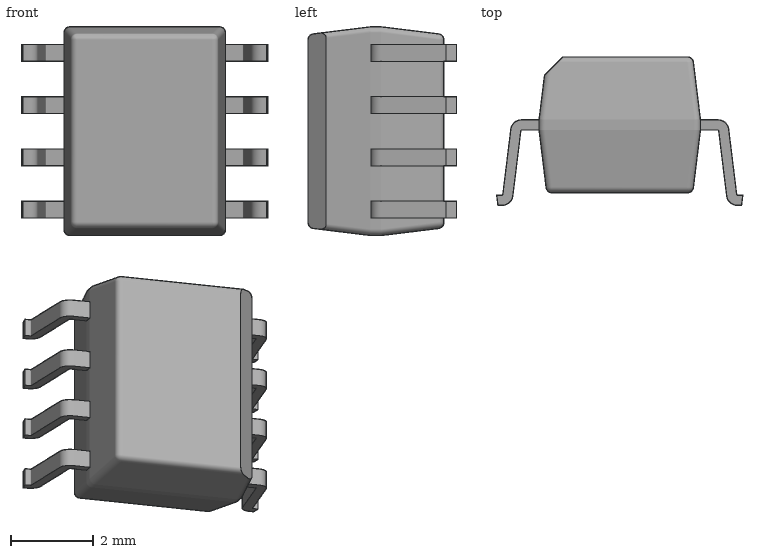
import cadquery as cq
import math


body_width = 3.93
body_length = 5.08
body_half_depth = 1.655
draft_angle = 7.0
edge_radius = 0.15
bevel_size = 0.39

lead_span = 5.99
lead_thickness = 0.25
lead_width = 0.415
lead_pitch = 1.27
leads_per_side = 4
shoulder_x = 2.385
foot_bottom_y = -1.96
inner_bend_radius = 0.02
outer_bend_radius = inner_bend_radius + lead_thickness

band_half = lead_thickness / 2
side_height = body_half_depth - band_half
draft = math.radians(draft_angle)
tolerance = 5.99e-05


def make_half(direction):
    """Half of the body, from the lead plane toward +Y (direction 1) or -Y (-1)."""
    plane = cq.Plane(origin=(0, 0, 0), xDir=(1, 0, 0), normal=(0, direction, 0))
    return (
        cq.Workplane(plane)
        .rect(body_width, body_length)
        .extrude(band_half)
        .faces(cq.selectors.DirectionMinMaxSelector(cq.Vector(0, direction, 0)))
        .wires()
        .toPending()
        .workplane()
        .extrude(side_height, taper=draft_angle)
    )


def make_bevel_cutter():
    """Triangular prism that removes the pin-1 edge at 45 degrees."""
    edge_x = -body_width / 2 + side_height * math.tan(draft)
    reach = 2 * bevel_size
    return (
        cq.Workplane("XY")
        .moveTo(edge_x + bevel_size, body_half_depth)
        .lineTo(edge_x + bevel_size - reach, body_half_depth - reach)
        .lineTo(edge_x + bevel_size - reach, body_half_depth)
        .close()
        .extrude(body_length, both=True)
    )


def is_band_border(edge):
    """True for the edges where the straight band meets the drafted sides."""
    return math.isclose(abs(edge.Center().y), band_half, abs_tol=tolerance)


def make_body():
    """Both halves as one solid, rounded everywhere but along the band borders, then bevelled."""
    block = make_half(1).union(make_half(-1))
    rounded_edges = [edge for edge in block.edges().vals() if not is_band_border(edge)]
    rounded = block.newObject(rounded_edges).fillet(edge_radius)
    return rounded.cut(make_bevel_cutter())


def make_lead_profile():
    """Outline of a +X lead in the XY plane."""
    lean_cos = math.cos(draft)
    lean_sin = math.sin(draft)
    upper_y = -band_half - inner_bend_radius
    foot_y = foot_bottom_y + outer_bend_radius
    bend_gap = inner_bend_radius + outer_bend_radius
    foot_x = shoulder_x + (bend_gap - (foot_y - upper_y) * lean_sin) / lean_cos

    def upper(radius, angle):
        return (shoulder_x + radius * math.cos(angle), upper_y + radius * math.sin(angle))

    def lower(radius, angle):
        return (foot_x - radius * math.cos(angle), foot_y - radius * math.sin(angle))

    level = math.pi / 2
    middle = (level + draft) / 2
    toe_x = lead_span / 2
    toe_setback = lead_thickness * math.tan(draft)
    return (
        cq.Workplane("XY")
        .moveTo(body_width / 2, band_half)
        .lineTo(*upper(outer_bend_radius, level))
        .threePointArc(upper(outer_bend_radius, middle), upper(outer_bend_radius, draft))
        .lineTo(*lower(inner_bend_radius, draft))
        .threePointArc(lower(inner_bend_radius, middle), lower(inner_bend_radius, level))
        .lineTo(toe_x, foot_bottom_y + lead_thickness)
        .lineTo(toe_x - toe_setback, foot_bottom_y)
        .lineTo(*lower(outer_bend_radius, level))
        .threePointArc(lower(outer_bend_radius, middle), lower(outer_bend_radius, draft))
        .lineTo(*upper(inner_bend_radius, draft))
        .threePointArc(upper(inner_bend_radius, middle), upper(inner_bend_radius, level))
        .lineTo(body_width / 2, -band_half)
        .close()
    )


def make_lead(z_centre, mirrored):
    lead = make_lead_profile().extrude(lead_width / 2, both=True)
    if mirrored:
        lead = lead.mirror("YZ")
    return lead.translate((0, 0, z_centre))


body = make_body()

leads = []
for index in range(leads_per_side):
    z_centre = (index - (leads_per_side - 1) / 2) * lead_pitch
    for mirrored in (False, True):
        leads.append(make_lead(z_centre, mirrored).val())

result = cq.Compound.makeCompound([body.solids().val(), *leads])